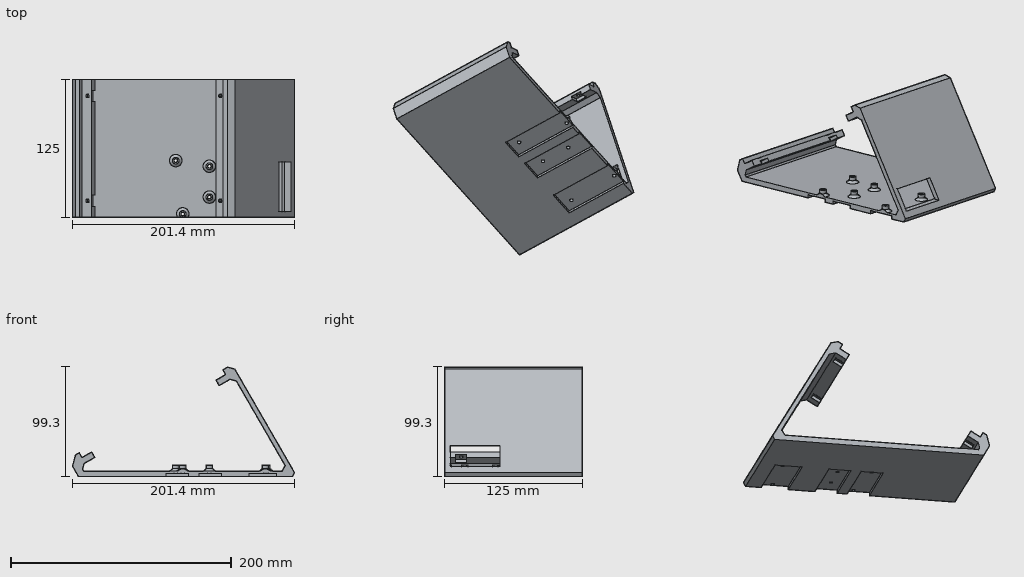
import cadquery as cq
import math

WIDTH = 125.0
FRONT = -WIDTH / 2
FLOOR_THICKNESS = 5.0

SEAT_TILT = math.radians(30)
SEAT_LENGTH = 150.2
SEAT_HEIGHT = 17.4
LIP_LENGTH = 10.1
LIP_THICKNESS = 5.8
RIM_HEIGHT = 5.0
LOWER_RIM = 4.0
UPPER_RIM = 5.0
LOWER_BEVEL = 7.5
UPPER_BEVEL = 4.8
LOWER_ROOT = 1.1
UPPER_ROOT = 1.3
LOWER_INNER_BEVEL = 3.75
UPPER_INNER_BEVEL = 4.2

HEEL_HEIGHT = 3.6
INNER_CORNER_RISE = 5.0
CORNER_SLOPE = math.radians(60)

LIP_HOLE_DIAMETER = 3.27
LIP_HOLE_SETBACK = 4.5
LIP_HOLE_Y = (-47.5, 47.5)
NUT_SLOT_WIDTH = 10.0
NUT_SLOT_HEIGHT = 3.0
NUT_SLOT_DEPTH = 2 * LIP_HOLE_SETBACK

WINDOW_Y = (-57.3, -12.3)
WINDOW_Z = (9.0, 28.0)
WINDOW_START_X = 170.0

BOARD_HOLE_X = 100.0
BOARD_HOLE_Y = FRONT + 3.1
STANDOFF_OFFSETS = [
    (0, 0),
    (74.93, 0),
    (24.13, 15.24),
    (24.13, 43.18),
    (-6.35, 48.26),
    (76.2, 48.26),
]
STANDOFF_DIAMETER = 6.0
STANDOFF_TOP = 10.4
STANDOFF_HOLE_DIAMETER = 3.1
FLARE_DIAMETER = 11.3
FLARE_TOP = 7.2

POCKET_X = [(84.7, 105.2), (114.6, 135.1), (159.9, 185.0)]
POCKET_HEIGHT = 3.0
POCKET_LENGTH = 60.0

BEVEL_FOOT_U = -LOWER_RIM - LOWER_BEVEL
BEVEL_FOOT_V = RIM_HEIGHT - LOWER_BEVEL
SEAT_X = BEVEL_FOOT_V * math.sin(SEAT_TILT) - BEVEL_FOOT_U * math.cos(SEAT_TILT)


def seat_point(u, v):
    """XZ position of a point u along the seat slope and v above the seat."""
    x = SEAT_X + u * math.cos(SEAT_TILT) - v * math.sin(SEAT_TILT)
    z = SEAT_HEIGHT + u * math.sin(SEAT_TILT) + v * math.cos(SEAT_TILT)
    return (x, z)


def wall_point(u, z):
    """XZ position at height z on the wall square to the seat at distance u."""
    v = (z - SEAT_HEIGHT - u * math.sin(SEAT_TILT)) / math.cos(SEAT_TILT)
    return seat_point(u, v)


ARM_OUTER_U = SEAT_LENGTH + UPPER_RIM + UPPER_BEVEL
HEEL = wall_point(ARM_OUTER_U, HEEL_HEIGHT)


def frame():
    """The bent profile, extruded over the whole width."""
    upper_inner_u = SEAT_LENGTH + UPPER_ROOT + UPPER_INNER_BEVEL
    lower_inner_u = -LOWER_ROOT - LOWER_INNER_BEVEL
    upper_tip_u = SEAT_LENGTH - LIP_LENGTH

    heel_foot = (HEEL[0] - HEEL_HEIGHT / math.tan(CORNER_SLOPE), 0)
    corner_top = wall_point(upper_inner_u, FLOOR_THICKNESS + INNER_CORNER_RISE)
    corner_foot = (corner_top[0] - INNER_CORNER_RISE / math.tan(CORNER_SLOPE), FLOOR_THICKNESS)

    outline = [
        wall_point(BEVEL_FOOT_U, 0),
        seat_point(BEVEL_FOOT_U, BEVEL_FOOT_V),
        seat_point(-LOWER_RIM, RIM_HEIGHT),
        seat_point(0, RIM_HEIGHT),
        seat_point(0, 0),
        seat_point(LIP_LENGTH, 0),
        seat_point(LIP_LENGTH, -LIP_THICKNESS),
        seat_point(-LOWER_ROOT, -LIP_THICKNESS),
        seat_point(lower_inner_u, -LIP_THICKNESS - LOWER_INNER_BEVEL),
        wall_point(lower_inner_u, FLOOR_THICKNESS),
        corner_foot,
        corner_top,
        seat_point(upper_inner_u, -LIP_THICKNESS - UPPER_INNER_BEVEL),
        seat_point(SEAT_LENGTH + UPPER_ROOT, -LIP_THICKNESS),
        seat_point(upper_tip_u, -LIP_THICKNESS),
        seat_point(upper_tip_u, 0),
        seat_point(SEAT_LENGTH, 0),
        seat_point(SEAT_LENGTH, RIM_HEIGHT),
        seat_point(SEAT_LENGTH + UPPER_RIM, RIM_HEIGHT),
        seat_point(ARM_OUTER_U, RIM_HEIGHT - UPPER_BEVEL),
        HEEL,
        heel_foot,
    ]
    return cq.Workplane("XZ").polyline(outline).close().extrude(WIDTH / 2, both=True)


def on_seat(u, y):
    """Workplane on the seat at distance u, local X up the slope, normal out of the seat."""
    x, z = seat_point(u, 0)
    slope = (math.cos(SEAT_TILT), 0, math.sin(SEAT_TILT))
    normal = (-math.sin(SEAT_TILT), 0, math.cos(SEAT_TILT))
    return cq.Workplane(cq.Plane(origin=(x, y, z), xDir=slope, normal=normal))


def lip_screw_cut(tip_u, inward, y):
    """Screw hole through a lip and the nut slot beneath it; inward is the u direction off the tip."""
    hole_u = tip_u + inward * LIP_HOLE_SETBACK
    hole = on_seat(hole_u, y).circle(LIP_HOLE_DIAMETER / 2).extrude(-LIP_THICKNESS)
    slot = (
        on_seat(tip_u + inward * NUT_SLOT_DEPTH / 2, y)
        .workplane(offset=-LIP_THICKNESS)
        .rect(NUT_SLOT_DEPTH, NUT_SLOT_WIDTH)
        .extrude(NUT_SLOT_HEIGHT)
    )
    return hole.union(slot)


def box_between(x_range, y_range, z_range):
    """Box spanning the three given ranges."""
    sizes = [high - low for low, high in (x_range, y_range, z_range)]
    corner = (x_range[0], y_range[0], z_range[0])
    return cq.Workplane("XY").box(*sizes, centered=False).translate(corner)


def window_cut():
    """Level opening through the foot of the arm."""
    return box_between((WINDOW_START_X, HEEL[0]), WINDOW_Y, WINDOW_Z)


def standoff(x, y):
    """Round post with a conical flare on the floor."""
    flare_half = [
        (0, 0),
        (FLARE_DIAMETER / 2, 0),
        (STANDOFF_DIAMETER / 2, FLARE_TOP - FLOOR_THICKNESS),
        (STANDOFF_DIAMETER / 2, STANDOFF_TOP - FLOOR_THICKNESS),
        (0, STANDOFF_TOP - FLOOR_THICKNESS),
    ]
    post = cq.Workplane("XZ").polyline(flare_half).close().revolve(360, (0, 0), (0, 1))
    return post.translate((x, y, FLOOR_THICKNESS))


result = frame()

for y in LIP_HOLE_Y:
    result = result.cut(lip_screw_cut(LIP_LENGTH, -1, y))
    result = result.cut(lip_screw_cut(SEAT_LENGTH - LIP_LENGTH, 1, y))

result = result.cut(window_cut())

standoff_places = [(BOARD_HOLE_X + dx, BOARD_HOLE_Y + dy) for dx, dy in STANDOFF_OFFSETS]
for x, y in standoff_places:
    result = result.union(standoff(x, y))

overhang = box_between((0, HEEL[0]), (FRONT - FLARE_DIAMETER, FRONT), (0, STANDOFF_TOP))
result = result.cut(overhang)

for x_range in POCKET_X:
    result = result.cut(box_between(x_range, (FRONT, FRONT + POCKET_LENGTH), (0, POCKET_HEIGHT)))

for x, y in standoff_places:
    hole = cq.Workplane("XY").center(x, y).circle(STANDOFF_HOLE_DIAMETER / 2).extrude(STANDOFF_TOP)
    result = result.cut(hole)